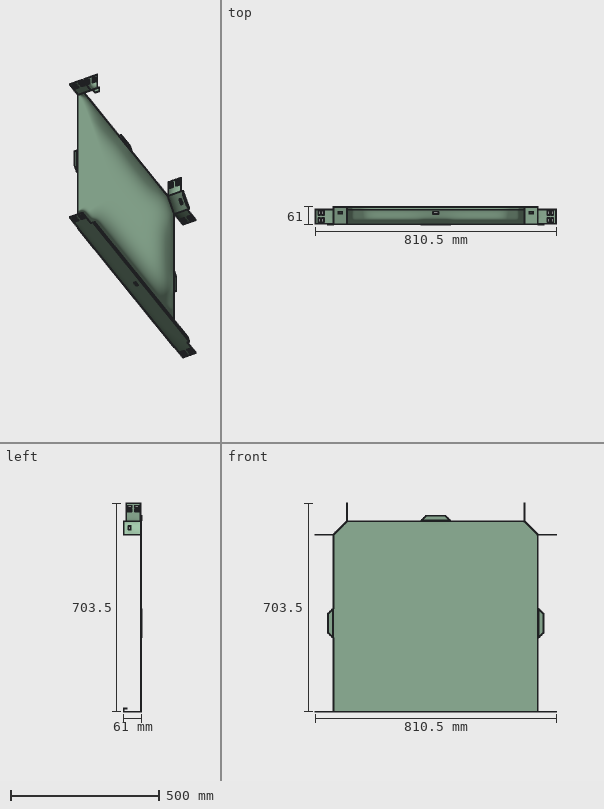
import cadquery as cq
import math

overall_width = 810.5
overall_height = 703.5
overall_depth = 61.0
sheet = 1.0
wing_length = 61.0
corner_cut = 45.0
half_width = overall_width / 2 - wing_length
panel_height = overall_height - wing_length
side_height = panel_height - corner_cut

tab_offset = 1.8
tab_step = 2.5
tab_height = 19.0
tab_base = 100.5

flange_depth = overall_depth - tab_offset
wing_front = 2.0
wing_back = 51.0
lip_height = 12.0
return_depth = 10.0

flange_slot_length = 18.0
slot_width = 6.5
flange_slot_y = 39.0
wing_slot_length = 13.0
wing_slot_rows_y = (14.5, flange_slot_y)
wing_slot_inset = 13.0
wing_slot_pitch = 12.0
cut_length = 8.0


def prism(points, y_start, y_end):
    """Outline in X and Z, filled from y_start to y_end."""
    outline = cq.Workplane("XZ", origin=(0, y_start, 0)).polyline(points).close()
    return outline.extrude(y_start - y_end)


def slot_cutter(center, along, normal, length):
    """Rectangular slot running in the direction `along`, through a sheet facing `normal`."""
    plane = cq.Plane(origin=center, xDir=along, normal=normal)
    return cq.Workplane(plane).rect(length, slot_width).extrude(cut_length, both=True)


def wing_slots(tip, inward, normal):
    """Two by two slots near the tip of a wing; tip and inward are X, Z pairs."""
    cutters = cq.Workplane()
    for inset in (wing_slot_inset, wing_slot_inset + wing_slot_pitch):
        x = tip[0] + inward[0] * inset
        z = tip[1] + inward[1] * inset
        for y in wing_slot_rows_y:
            cutters = cutters.add(slot_cutter((x, y, z), (0, 1, 0), normal, wing_slot_length))
    return cutters.combine()


def panel():
    half_top = half_width - corner_cut
    outline = [
        (-half_width, 0),
        (half_width, 0),
        (half_width, side_height),
        (half_top, panel_height),
        (-half_top, panel_height),
        (-half_width, side_height),
    ]
    return prism(outline, 0, sheet)


def bottom_flange():
    """Flange along the lower edge with a bevelled rear lip, its forward return and two end wings."""
    half_lip = half_width - lip_height
    back = flange_depth
    wing_depth = wing_back - wing_front
    floor = cq.Workplane().box(2 * half_width, back, sheet, centered=(True, False, False))
    wings = (
        cq.Workplane(origin=(0, wing_front, 0))
        .box(overall_width, wing_depth, sheet, centered=(True, False, False))
    )
    lip_outline = [(-half_width, 0), (half_width, 0), (half_lip, lip_height), (-half_lip, lip_height)]
    lip = prism(lip_outline, back - sheet, back)
    lip_return = (
        cq.Workplane(origin=(0, back - return_depth, lip_height - sheet))
        .box(2 * half_lip, return_depth, sheet, centered=(True, False, False))
    )
    body = floor.union(wings).union(lip).union(lip_return)
    body = body.cut(slot_cutter((0, flange_slot_y, 0), (1, 0, 0), (0, 0, 1), flange_slot_length))
    for side in (-1, 1):
        body = body.cut(wing_slots((side * overall_width / 2, 0), (-side, 0), (0, 0, 1)))
    return body


def left_corner():
    """Sloping flange on the upper left corner with its rear lip and two wings."""
    low = (-half_width, side_height)
    high = (-half_width + corner_cut, panel_height)
    miter = sheet * math.tan(math.pi / 8)
    low_inner = (low[0] + miter, low[1] - sheet)
    high_inner = (high[0] + sheet, high[1] - miter)
    side_tip = (-overall_width / 2, side_height)
    top_tip = (high[0], overall_height)

    slope = prism([low, high, high_inner, low_inner], 0, flange_depth)
    side_wing = prism([side_tip, low, low_inner, (side_tip[0], low_inner[1])], wing_front, wing_back)
    top_wing = prism([top_tip, high, high_inner, (high_inner[0], top_tip[1])], wing_front, wing_back)

    bevel = lip_height * math.sqrt(2)
    lip_outline = [
        low_inner,
        high_inner,
        (high_inner[0], high_inner[1] - bevel),
        (low_inner[0] + bevel, low_inner[1]),
    ]
    lip = prism(lip_outline, flange_depth - sheet, flange_depth)

    middle = ((low[0] + high[0]) / 2, flange_slot_y, (low[1] + high[1]) / 2)
    body = slope.union(side_wing).union(top_wing).union(lip)
    body = body.cut(slot_cutter(middle, (1, 0, 1), (-1, 0, 1), flange_slot_length))
    body = body.cut(wing_slots(side_tip, (1, 0), (0, 0, 1)))
    return body.cut(wing_slots(top_tip, (0, -1), (1, 0, 0)))


def tab():
    """Tab rising from Z = 0 that steps forward of the panel and has 45 degree ends."""
    half_base = tab_base / 2
    half_tip = half_base - tab_height
    profile = [
        (0, 0),
        (-tab_offset, tab_step),
        (-tab_offset, tab_height),
        (sheet - tab_offset, tab_height),
        (sheet - tab_offset, tab_step),
        (sheet, 0),
    ]
    stepped = cq.Workplane("YZ").polyline(profile).close().extrude(half_base, both=True)
    outline = [(-half_base, 0), (half_base, 0), (half_tip, tab_height), (-half_tip, tab_height)]
    return stepped.intersect(prism(outline, -tab_offset, sheet))


corner = left_corner()
result = panel().union(bottom_flange()).union(corner).union(corner.mirror("YZ"))
result = result.union(tab().translate((0, 0, panel_height)))
for side in (-1, 1):
    side_tab = tab().rotate((0, 0, 0), (0, 1, 0), side * 90)
    result = result.union(side_tab.translate((side * half_width, 0, side_height / 2)))